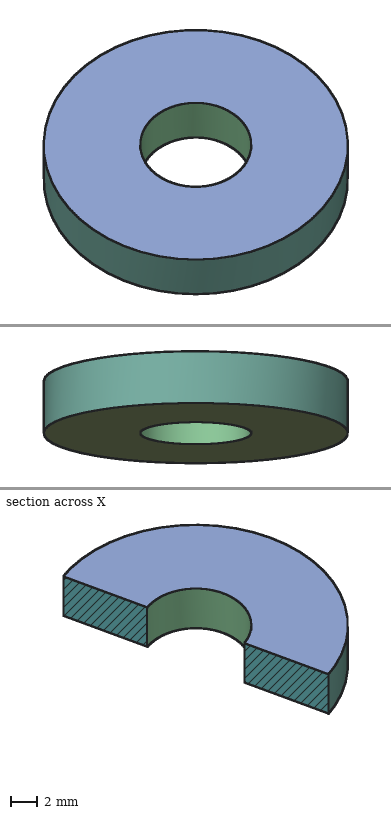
import cadquery as cq

outer_diameter = 23.0
hole_diameter = 8.4
thickness = 4.0

disc = cq.Workplane("XY").circle(outer_diameter / 2).extrude(thickness)

result = disc.faces(">Z").workplane().hole(hole_diameter)